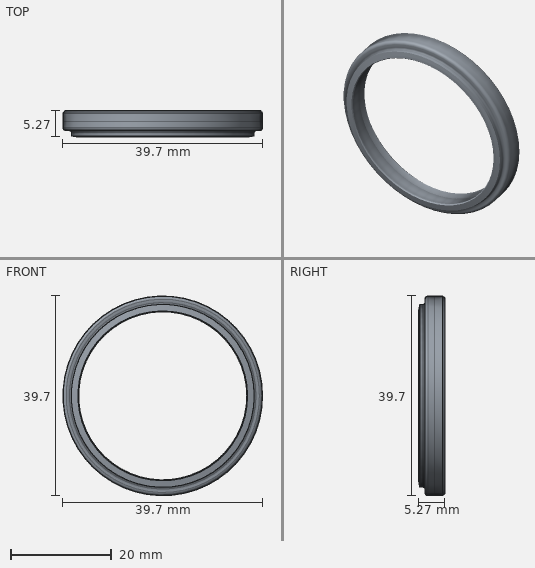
import cadquery as cq

total_width = 5.27
outer_radius = 19.83
back_radius = 19.81
bore_radius = 16.7
lip_radius = 18.15

back_chamfer_width = 0.48
back_chamfer_depth = 0.4
rim_taper_start = 2.15
shoulder_round = 0.65
shoulder = 4.0
root_fillet = 0.35
lip_chamfer = 0.15
nose_drop = 0.25

bore_lip_width = 0.3
groove_radius = 17.3
groove_end = 1.82
throat = 0.8
back_mouth_radius = 17.45

back = total_width / 2
front = -back
shoulder_y = back - shoulder
nose_y = front + nose_drop

section = (
    cq.Workplane("XY")
    .moveTo(back_mouth_radius, back)
    .lineTo(back_radius - back_chamfer_depth, back)
    .lineTo(back_radius, back - back_chamfer_width)
    .lineTo(back_radius, back - rim_taper_start)
    .lineTo(outer_radius, shoulder_y + shoulder_round)
    .radiusArc((outer_radius - shoulder_round, shoulder_y), shoulder_round)
    .lineTo(lip_radius + root_fillet, shoulder_y)
    .radiusArc((lip_radius, shoulder_y - root_fillet), -root_fillet)
    .lineTo(lip_radius, nose_y)
    .lineTo(bore_radius + lip_chamfer, front)
    .lineTo(bore_radius, front + lip_chamfer)
    .lineTo(bore_radius, front + bore_lip_width)
    .lineTo(groove_radius, front + bore_lip_width)
    .lineTo(groove_radius, back - groove_end)
    .lineTo(bore_radius, back - throat)
    .close()
)

result = section.revolve(360, (0, 0, 0), (0, 1, 0))